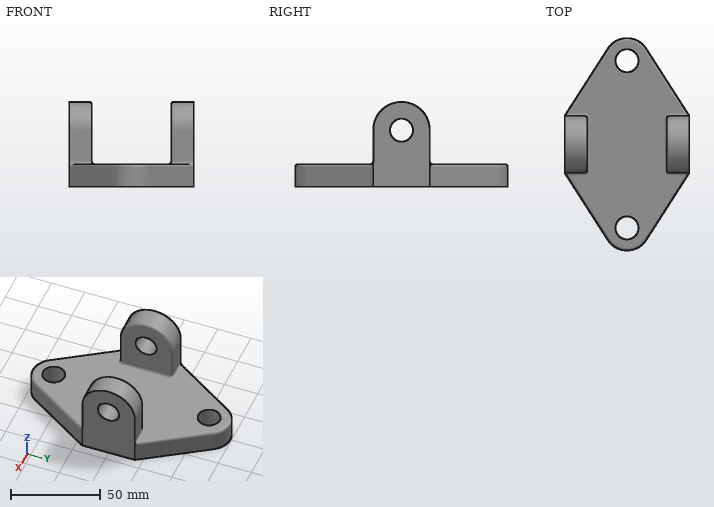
import cadquery as cq
import math

length = 119.0
width = 69.8
height = 47.6
wall = 12.7
hole_diameter = 12.7
end_radius = 12.7
lug_width = 31.8
edge_round = 1.5

half_width = width / 2
lug_radius = lug_width / 2
end_center_y = length / 2 - end_radius
pivot_z = height - lug_radius
side_allowance = 3.6
tolerance = 0.01


def tangent_point():
    """Point where the line from a lug corner touches the round plate end."""
    run = half_width
    drop = lug_radius - end_center_y
    corner_angle = math.atan2(drop, run)
    touch_angle = corner_angle + math.acos(end_radius / math.hypot(run, drop))
    return (
        end_radius * math.cos(touch_angle),
        end_center_y + end_radius * math.sin(touch_angle),
    )


def diamond(overhang, thickness):
    """Diamond prism with round ends, its slanted sides running on past the part's width by overhang."""
    touch_x, touch_y = tangent_point()
    slope = (touch_y - lug_radius) / (half_width - touch_x)
    side_x = half_width + overhang
    side_y = lug_radius - slope * overhang
    return (
        cq.Workplane("XY")
        .moveTo(side_x, -side_y)
        .lineTo(side_x, side_y)
        .lineTo(touch_x, touch_y)
        .threePointArc((0, length / 2), (-touch_x, touch_y))
        .lineTo(-side_x, side_y)
        .lineTo(-side_x, -side_y)
        .lineTo(-touch_x, -touch_y)
        .threePointArc((0, -length / 2), (touch_x, -touch_y))
        .close()
        .extrude(thickness)
    )


def lug(side, overhang):
    """Round-topped lug; side is 1 for the +X lug and -1 for the -X lug."""
    body = (
        cq.Workplane("YZ", origin=(side * (half_width + overhang), 0, 0))
        .moveTo(-lug_radius, 0)
        .lineTo(-lug_radius, pivot_z)
        .threePointArc((0, height), (lug_radius, pivot_z))
        .lineTo(lug_radius, 0)
        .close()
        .extrude(-side * (wall + overhang))
    )
    inner_face = body.faces("<X" if side > 0 else ">X")
    return inner_face.edges("not <Z").fillet(edge_round)


def is_lug_root(edge):
    """True for the edges where a lug meets the top of the plate."""
    box = edge.BoundingBox()
    flat = abs(box.zmin - wall) < tolerance and abs(box.zmax - wall) < tolerance
    near_lug = box.ymax < lug_radius + tolerance and box.ymin > -lug_radius - tolerance
    return flat and near_lug


def add_lugs(plate, overhang):
    """Join both lugs to a plate and fillet their feet."""
    body = plate.union(lug(1, overhang)).union(lug(-1, overhang))
    root_edges = [edge for edge in body.edges().vals() if is_lug_root(edge)]
    return body.newObject(root_edges).fillet(edge_round)


def keep_half(body, side):
    """Keep one Y half of a body, trimmed flat to the part's width; side is 1 for +Y, -1 for -Y."""
    envelope = cq.Workplane("XY").box(width, length, 2 * height)
    return body.intersect(envelope.translate((0, side * length / 2, 0)))


def rear_half():
    """+Y half: the rim rounding stops at the lugs."""
    rim = diamond(0, wall).faces(">Z").edges("not(<X or >X)")
    bracket = add_lugs(rim.fillet(edge_round), 0)
    return keep_half(bracket, 1)


def front_half():
    """-Y half: the rim rounding runs on up the outer corners of the lugs."""
    slab = cq.Workplane("XY").box(2 * width, length, wall, centered=(True, True, False))
    bracket = add_lugs(slab, half_width).intersect(diamond(side_allowance, height))
    end_edge = bracket.edges(cq.selectors.NearestToPointSelector((0, -length / 2, wall)))
    rounded = end_edge.fillet(edge_round)
    return keep_half(rounded, -1)


result = rear_half().union(front_half())

mounting_holes = (
    cq.Workplane("XY")
    .pushPoints([(0, end_center_y), (0, -end_center_y)])
    .circle(hole_diameter / 2)
    .extrude(wall)
)
result = result.cut(mounting_holes)

pivot_hole = (
    cq.Workplane("YZ", origin=(-half_width, 0, pivot_z))
    .circle(hole_diameter / 2)
    .extrude(width)
)
result = result.cut(pivot_hole)